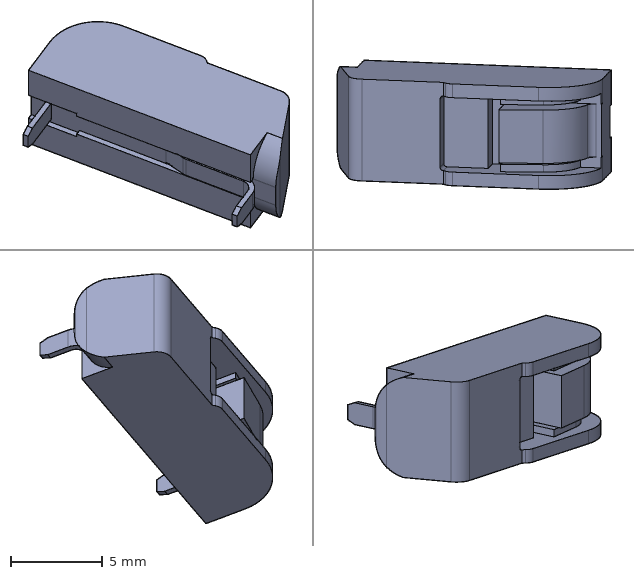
import cadquery as cq
import math

LENGTH = 15.2
HEIGHT = 5.7
DEPTH = 5.45
CORNER_RADIUS = 3.0
STEP_DROP = 0.32
STEP_Y = DEPTH - STEP_DROP
STEP_END_X = 8.38
STEP_RADIUS = 0.61
SLOPE_START_X = 13.56
SLOPE_END_Y = 0.73
SHOULDER_RADIUS = 0.91
TOE_RADIUS = 1.82

GROOVE_DEPTH = 0.32
GROOVE_WIDTH = 1.4
WIDE_GROOVE_WIDTH = 1.8
WIDE_GROOVE_LENGTH = 3.0

NOSE_START_X = 13.8
NOSE_SIDE_Y = 1.95

POCKET_WIDTH = 4.16
FLOOR_Y = 2.8
DEEP_POCKET_END_X = 6.08
SHELF_Y = 4.09
POCKET_END_RADIUS = 0.18

AXIS_X = 3.2
AXIS_Y = DEPTH - CORNER_RADIUS
LEVER_WIDTH = 2.98
LEVER_RADIUS = 2.57
LEVER_FILLET = 0.43
LEVER_TILT = 8.5
LEVER_END_X = 5.23
HUB_RADIUS = 2.05
HUB_INNER_Z = 1.67
HUB_THICKNESS = POCKET_WIDTH / 2 - HUB_INNER_Z

STRIP_WIDTH = 1.25
STRIP_THICKNESS = 0.32
BEND_RADIUS = 0.56
PIN_END_Y = -2.39
TIP_LENGTH = 0.5
TIP_WIDTH = 0.85
LEFT_PIN_X = 0.95
LEFT_BEND_Y = 0.23
RIGHT_PIN_X = 14.25
STRIP_FRONT_Y = -0.03
RAMP_START_X = 8.38
RAMP_END_X = 9.71
RAMP_RADIUS = 0.7
STRIP_LIFT_X = 12.16


def fillet_upright_edge(solid, x, y, radius):
    """Round the edge parallel to Z that passes through (x, y)."""
    return solid.edges("|Z").edges(cq.selectors.NearestToPointSelector((x, y, 0))).fillet(radius)


def centred_prism(outline, width):
    """Extrude an XY outline equally to both sides of z = 0."""
    return outline.extrude(width / 2, both=True)


def box(x_range, y_range, z_width):
    """Box between two x and two y values, centred on z = 0."""
    (x0, x1), (y0, y1) = x_range, y_range
    center = ((x0 + x1) / 2, (y0 + y1) / 2, 0)
    return cq.Workplane("XY").box(x1 - x0, y1 - y0, z_width).translate(center)


def make_housing():
    step_start_x = STEP_END_X - STEP_DROP
    outline = cq.Workplane("XY").polyline([
        (0, 0),
        (0, DEPTH),
        (step_start_x, DEPTH),
        (STEP_END_X, STEP_Y),
        (SLOPE_START_X, STEP_Y),
        (LENGTH, SLOPE_END_Y),
        (LENGTH, 0),
    ]).close()
    housing = centred_prism(outline, HEIGHT)
    housing = fillet_upright_edge(housing, 0, DEPTH, CORNER_RADIUS)
    housing = fillet_upright_edge(housing, step_start_x, DEPTH, STEP_RADIUS)
    housing = fillet_upright_edge(housing, SLOPE_START_X, STEP_Y, SHOULDER_RADIUS)
    return fillet_upright_edge(housing, LENGTH, SLOPE_END_Y, TOE_RADIUS)


def make_nose_cut():
    """Material in front of the nose: a flat middle with an arc tangent to it on each side."""
    flat_z = GROOVE_WIDTH / 2
    side_z = HEIGHT / 2
    rise = side_z - flat_z
    setback = NOSE_SIDE_Y - GROOVE_DEPTH
    radius = (rise**2 + setback**2) / (2 * setback)
    half_angle = math.asin(rise / radius) / 2
    mid_y = GROOVE_DEPTH + radius * (1 - math.cos(half_angle))
    mid_z = flat_z + radius * math.sin(half_angle)
    return (
        cq.Workplane("YZ", origin=(NOSE_START_X, 0, 0))
        .moveTo(0, -side_z)
        .lineTo(NOSE_SIDE_Y, -side_z)
        .threePointArc((mid_y, -mid_z), (GROOVE_DEPTH, -flat_z))
        .lineTo(GROOVE_DEPTH, flat_z)
        .threePointArc((mid_y, mid_z), (NOSE_SIDE_Y, side_z))
        .lineTo(0, side_z)
        .close()
        .extrude(LENGTH - NOSE_START_X)
    )


def make_groove_cut():
    groove = box((0, LENGTH), (0, GROOVE_DEPTH), GROOVE_WIDTH)
    wide_end = box((0, WIDE_GROOVE_LENGTH), (0, GROOVE_DEPTH), WIDE_GROOVE_WIDTH)
    return groove.union(wide_end)


def make_pocket_cut():
    shallow = box((0, STEP_END_X + POCKET_END_RADIUS), (SHELF_Y, DEPTH), POCKET_WIDTH)
    shallow = shallow.edges(">X and |Y").fillet(POCKET_END_RADIUS)
    deep = box((0, DEEP_POCKET_END_X), (FLOOR_Y, DEPTH), POCKET_WIDTH)
    return shallow.union(deep)


def on_circle(center, radius, degrees):
    """Point on a circle, with the angle measured from +X towards +Y."""
    angle = math.radians(degrees)
    return center[0] + radius * math.cos(angle), center[1] + radius * math.sin(angle)


def close_behind_arc(outline, radius, start_degrees):
    """Follow the arc to the tilted top, then the top, the end face and the base."""
    axis = (AXIS_X, AXIS_Y)
    top_degrees = 90 + LEVER_TILT
    top_x, top_y = on_circle(axis, radius, top_degrees)
    end_y = top_y + (LEVER_END_X - top_x) * math.tan(math.radians(LEVER_TILT))
    return (
        outline
        .threePointArc(on_circle(axis, radius, (start_degrees + top_degrees) / 2), (top_x, top_y))
        .lineTo(LEVER_END_X, end_y)
        .lineTo(LEVER_END_X, AXIS_Y)
        .close()
    )


def make_lever():
    """Lever on a square-edged base, joined to the base by a concave fillet."""
    fillet_center_y = FLOOR_Y + LEVER_FILLET
    center_distance = LEVER_RADIUS + LEVER_FILLET
    lift_degrees = math.degrees(math.asin((fillet_center_y - AXIS_Y) / center_distance))
    arc_start = 180 - lift_degrees
    fillet_center = on_circle((AXIS_X, AXIS_Y), center_distance, arc_start)
    outline = (
        cq.Workplane("XY")
        .moveTo(0, AXIS_Y)
        .lineTo(0, FLOOR_Y)
        .lineTo(fillet_center[0], FLOOR_Y)
        .threePointArc(
            on_circle(fillet_center, LEVER_FILLET, -(90 + lift_degrees) / 2),
            on_circle(fillet_center, LEVER_FILLET, -lift_degrees),
        )
    )
    return centred_prism(close_behind_arc(outline, LEVER_RADIUS, arc_start), LEVER_WIDTH)


def make_hub():
    """Upper hub, between the gap beside the lever and the cheek."""
    outline = cq.Workplane("XY", origin=(0, 0, HUB_INNER_Z)).moveTo(AXIS_X - HUB_RADIUS, AXIS_Y)
    return close_behind_arc(outline, HUB_RADIUS, 180).extrude(HUB_THICKNESS)


def make_pin(outer_x, bend_y, inward):
    """Pin with a tapered tip and a quarter bend at its root.

    inward is +1 or -1, the X direction in which the bend leads away from the pin.
    """
    inner_x = outer_x + inward * STRIP_THICKNESS
    bend_end_x = inner_x + inward * BEND_RADIUS
    bend_center = (bend_end_x, bend_y)
    outer_radius = BEND_RADIUS + STRIP_THICKNESS
    mid_degrees = 90 + inward * 45
    outline = (
        cq.Workplane("XY")
        .moveTo(inner_x, PIN_END_Y)
        .lineTo(outer_x, PIN_END_Y)
        .lineTo(outer_x, bend_y)
        .threePointArc(
            on_circle(bend_center, outer_radius, mid_degrees),
            (bend_end_x, bend_y + outer_radius),
        )
        .lineTo(bend_end_x, bend_y + BEND_RADIUS)
        .threePointArc(on_circle(bend_center, BEND_RADIUS, mid_degrees), (inner_x, bend_y))
        .close()
    )
    pin = centred_prism(outline, STRIP_WIDTH)
    taper = (STRIP_WIDTH - TIP_WIDTH) / 2
    for side in (1, -1):
        corner = (
            cq.Workplane("YZ", origin=(min(outer_x, inner_x), 0, 0))
            .polyline([
                (PIN_END_Y, side * STRIP_WIDTH / 2),
                (PIN_END_Y + TIP_LENGTH, side * STRIP_WIDTH / 2),
                (PIN_END_Y, side * (STRIP_WIDTH / 2 - taper)),
            ])
            .close()
            .extrude(STRIP_THICKNESS)
        )
        pin = pin.cut(corner)
    return pin


def make_strip(end_x):
    """Contact strip on the groove floor, rising out of it on a ramp."""
    back_y = STRIP_FRONT_Y + STRIP_THICKNESS
    outline = cq.Workplane("XY").polyline([
        (RAMP_START_X, GROOVE_DEPTH),
        (RAMP_END_X, STRIP_FRONT_Y),
        (end_x, STRIP_FRONT_Y),
        (end_x, back_y),
        (STRIP_LIFT_X, GROOVE_DEPTH),
    ]).close()
    strip = centred_prism(outline, STRIP_WIDTH)
    return fillet_upright_edge(strip, RAMP_END_X, STRIP_FRONT_Y, RAMP_RADIUS)


result = make_housing().cut(make_nose_cut()).cut(make_groove_cut()).cut(make_pocket_cut())
upper_hub = make_hub()
result = result.union(make_lever()).union(upper_hub).union(upper_hub.mirror("XY"))
result = result.union(make_pin(LEFT_PIN_X, LEFT_BEND_Y, 1))
result = result.union(make_pin(RIGHT_PIN_X, STRIP_FRONT_Y - BEND_RADIUS, -1))
result = result.union(make_strip(RIGHT_PIN_X - STRIP_THICKNESS - BEND_RADIUS))